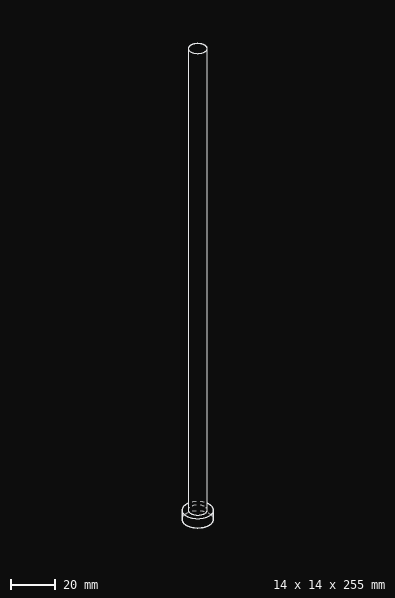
import cadquery as cq

total_length = 255.0
head_diameter = 14.0
head_height = 5.0
shaft_diameter = 8.5

head = cq.Workplane("XY").circle(head_diameter / 2).extrude(head_height)

shaft = cq.Workplane("XY").circle(shaft_diameter / 2).extrude(total_length)

result = head.union(shaft)